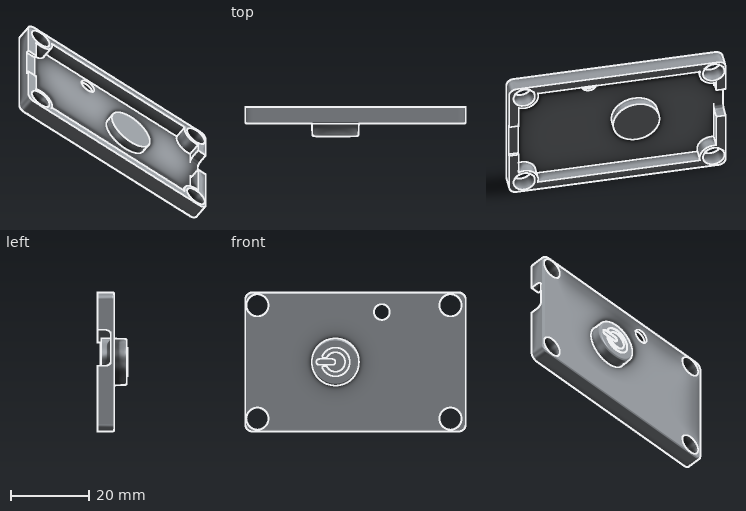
import cadquery as cq

LENGTH = 56.55
HEIGHT = 35.7
DEPTH = 4.3
CORNER_RADIUS = 2.0
FACE_EDGE_RADIUS = 0.5
FACE_THICKNESS = 0.85
WALL_THICKNESS = 2.5

HOLE_DIAMETER = 5.6
HOLE_SPACING_X = 49.45
HOLE_SPACING_Z = 29.0
HOLE_PATTERN_X = -0.4
BOSS_WALL = 0.85
BOSS_DIAMETER = HOLE_DIAMETER + 2 * BOSS_WALL

WINDOW_DIAMETER = 3.95
WINDOW_X = 6.75
WINDOW_Z = 12.8

NOTCH_TOP = 8.2
NOTCH_BOTTOM = -0.95
NOTCH_CORNER_RADIUS = 1.3
SHALLOW_NOTCH_WIDTH = 9.95
SHALLOW_NOTCH_DEPTH = 0.7

BUTTON_X = -5.15
BUTTON_BASE_RADIUS = 6.05
BUTTON_TIP_RADIUS = 5.95
BUTTON_FRONT = 3.2
BUTTON_BACK_GAP = 1.0
BUTTON_EDGE_RADIUS = 0.55

SYMBOL_RELIEF = 0.15
RING_OUTER_RADIUS = 3.7
RING_INNER_RADIUS = 2.5
RING_GAP = 2.2
RING_END_RADIUS = 0.35
BAR_LENGTH = 4.85
BAR_WIDTH = 1.5


def workplane_at(y):
    """Sketch plane seen from the front (X right, Z up) whose extrusions grow toward -Y."""
    return cq.Workplane("XZ", origin=(0, y, 0))


def corner_cylinders(diameter, y_front):
    """Four cylinders on the corner hole pattern, from y_front to the back of the plate."""
    return (
        workplane_at(DEPTH)
        .center(HOLE_PATTERN_X, 0)
        .rect(HOLE_SPACING_X, HOLE_SPACING_Z, forConstruction=True)
        .vertices()
        .circle(diameter / 2)
        .extrude(DEPTH - y_front)
    )


def make_plate():
    outer = (
        workplane_at(DEPTH)
        .rect(LENGTH, HEIGHT)
        .extrude(DEPTH)
        .edges("|Y")
        .fillet(CORNER_RADIUS)
        .faces("<Y")
        .edges()
        .fillet(FACE_EDGE_RADIUS)
    )
    pocket = (
        workplane_at(DEPTH)
        .rect(LENGTH - 2 * WALL_THICKNESS, HEIGHT - 2 * WALL_THICKNESS)
        .extrude(DEPTH - FACE_THICKNESS)
        .cut(corner_cylinders(BOSS_DIAMETER, FACE_THICKNESS))
    )
    window = workplane_at(DEPTH).center(WINDOW_X, WINDOW_Z).circle(WINDOW_DIAMETER / 2).extrude(DEPTH)
    return outer.cut(pocket).cut(corner_cylinders(HOLE_DIAMETER, 0)).cut(window)


def end_wall_block(x_start, depth, z_bottom, z_top):
    """Block across one end wall, reaching the given depth in from the back edge."""
    return cq.Workplane("XY").box(WALL_THICKNESS, depth, z_top - z_bottom, centered=False).translate(
        (x_start, DEPTH - depth, z_bottom)
    )


def make_notches():
    deep = end_wall_block(-LENGTH / 2, DEPTH - FACE_THICKNESS, NOTCH_BOTTOM, NOTCH_TOP)
    deep = deep.faces("<Y").edges("|X").fillet(NOTCH_CORNER_RADIUS)
    shallow = end_wall_block(
        LENGTH / 2 - WALL_THICKNESS, SHALLOW_NOTCH_DEPTH, -SHALLOW_NOTCH_WIDTH / 2, SHALLOW_NOTCH_WIDTH / 2
    )
    return deep.union(shallow)


def make_button():
    """Revolve the half profile about the button axis, then round its front rim."""
    back = DEPTH - BUTTON_BACK_GAP
    body = (
        cq.Workplane("XY")
        .moveTo(0, back)
        .lineTo(BUTTON_BASE_RADIUS, back)
        .lineTo(BUTTON_BASE_RADIUS, 0)
        .lineTo(BUTTON_TIP_RADIUS, -BUTTON_FRONT)
        .lineTo(0, -BUTTON_FRONT)
        .close()
        .revolve(360, (0, 0, 0), (0, 1, 0))
    )
    return body.faces("<Y").edges().fillet(BUTTON_EDGE_RADIUS)


def make_symbol():
    """Ring broken on its -X side, and a rounded bar from the button centre out through the gap."""
    ring = workplane_at(-BUTTON_FRONT).circle(RING_OUTER_RADIUS).circle(RING_INNER_RADIUS).extrude(SYMBOL_RELIEF)
    gap = (
        workplane_at(-BUTTON_FRONT)
        .center(-RING_OUTER_RADIUS / 2, 0)
        .rect(RING_OUTER_RADIUS, RING_GAP)
        .extrude(SYMBOL_RELIEF)
    )
    bar = (
        workplane_at(-BUTTON_FRONT)
        .center(-BAR_LENGTH / 2, 0)
        .slot2D(BAR_LENGTH, BAR_WIDTH)
        .extrude(SYMBOL_RELIEF)
    )
    broken_ring = ring.cut(gap).edges("|Y and <X").fillet(RING_END_RADIUS)
    return broken_ring.union(bar)


button = make_button().union(make_symbol()).translate((BUTTON_X, 0, 0))
result = make_plate().cut(make_notches()).union(button)